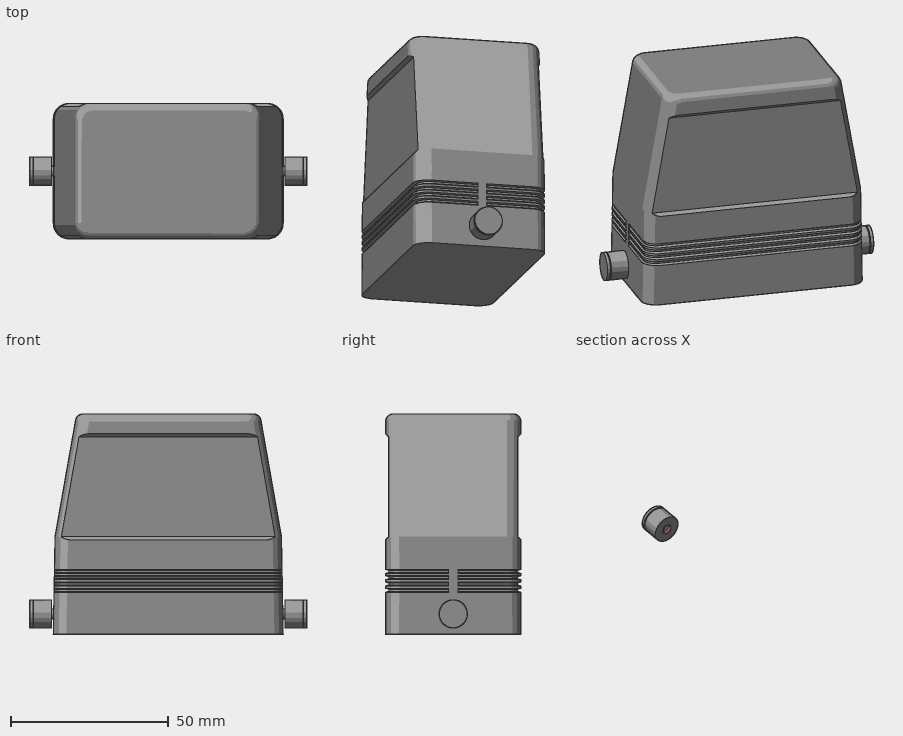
import cadquery as cq
import math

width = 43.0
height = 70.0
base_half_length = 36.5
knee_z = 31.0
lower_draft = 1.0
upper_draft = 10.0
corner_radius = 5.0
top_radius = 2.5

recess_depth = 1.0
recess_floor_bottom = knee_z
recess_floor_top = 62.7

groove_count = 4
groove_pitch = 2.0
groove_band_center_z = 17.0
groove_mouth = 1.3
groove_floor = 0.6
groove_side_depth = 1.1
groove_end_depth = 0.6
groove_floor_corner_radius = 4.0
groove_gap = 3.0

overall_length = 88.0
peg_diameter = 9.0
peg_length = 7.0
peg_z = 6.5
neck_diameter = 3.2
neck_embedment = 2.0
ring_offset = 1.0
ring_width = 0.3
ring_depth = 0.1

clearance = 5.0


def draft_run(rise, angle):
    """Inward shift of a face leaning by angle (degrees) over a vertical rise."""
    return rise * math.tan(math.radians(angle))


def lower_half_length(z):
    """Half the body length at height z, below the knee."""
    return base_half_length - draft_run(z, lower_draft)


def make_body():
    """Solid hood with rounded corners and a rounded top rim."""
    knee_half = lower_half_length(knee_z)
    top_half = knee_half - draft_run(height - knee_z, upper_draft)
    body = (
        cq.Workplane("XZ")
        .moveTo(-base_half_length, 0)
        .lineTo(base_half_length, 0)
        .lineTo(knee_half, knee_z)
        .lineTo(top_half, height)
        .lineTo(-top_half, height)
        .lineTo(-knee_half, knee_z)
        .close()
        .extrude(width / 2, both=True)
    )
    body = body.edges("not (|X or |Y)").fillet(corner_radius)
    return body.faces(">Z").edges().fillet(top_radius)


def make_side_recess(side):
    """Trapezoidal bar that removes the recess on the side +1 (+Y) or -1 (-Y)."""
    outer_y = side * width / 2
    floor_y = side * (width / 2 - recess_depth)
    return (
        cq.Workplane("YZ")
        .moveTo(floor_y, recess_floor_bottom)
        .lineTo(floor_y, recess_floor_top)
        .lineTo(outer_y, recess_floor_top + recess_depth)
        .lineTo(outer_y, recess_floor_bottom - recess_depth)
        .close()
        .extrude(base_half_length + clearance, both=True)
    )


def mouth_section(z):
    """Body outline at height z."""
    return cq.Sketch().rect(2 * lower_half_length(z), width).vertices().fillet(corner_radius)


def floor_section(z):
    """Outline of the groove floor at height z."""
    length = 2 * (lower_half_length(z) - groove_end_depth)
    floor_width = width - 2 * groove_side_depth
    return cq.Sketch().rect(length, floor_width).vertices().fillet(groove_floor_corner_radius)


def make_flank(mouth_z, floor_z):
    """Core frustum that leaves one sloping flank of a groove."""
    mouth = mouth_section(mouth_z).moved(cq.Location(cq.Vector(0, 0, mouth_z)))
    floor = floor_section(floor_z).moved(cq.Location(cq.Vector(0, 0, floor_z)))
    return cq.Workplane("XY").placeSketch(mouth, floor).loft(ruled=True)


def make_groove(z):
    """Ring around the body whose section narrows from the mouth to the floor."""
    half_mouth = groove_mouth / 2
    half_floor = groove_floor / 2
    core = (
        cq.Workplane("XY", origin=(0, 0, z - half_mouth))
        .placeSketch(floor_section(z))
        .extrude(groove_mouth)
        .union(make_flank(z - half_mouth, z - half_floor))
        .union(make_flank(z + half_mouth, z + half_floor))
    )
    bridge_length = 2 * (base_half_length + clearance)
    bridge = cq.Workplane("XY").box(bridge_length, groove_gap, groove_mouth).translate((0, 0, z))
    slab = (
        cq.Workplane("XY")
        .box(bridge_length, width + 2 * clearance, groove_mouth)
        .translate((0, 0, z))
    )
    return slab.cut(core).cut(bridge)


def make_peg():
    """Peg on the +X end: a thin neck carrying a cylinder with a fine ring groove."""
    peg_radius = peg_diameter / 2
    neck_radius = neck_diameter / 2
    tip_x = overall_length / 2
    shoulder_x = tip_x - peg_length
    ring_outer_x = tip_x - ring_offset
    ring_inner_x = ring_outer_x - ring_width
    neck_start_x = base_half_length - neck_embedment
    return (
        cq.Workplane("XY")
        .moveTo(neck_start_x, 0)
        .lineTo(neck_start_x, neck_radius)
        .lineTo(shoulder_x, neck_radius)
        .lineTo(shoulder_x, peg_radius)
        .lineTo(ring_inner_x, peg_radius)
        .lineTo(ring_inner_x, peg_radius - ring_depth)
        .lineTo(ring_outer_x, peg_radius - ring_depth)
        .lineTo(ring_outer_x, peg_radius)
        .lineTo(tip_x, peg_radius)
        .lineTo(tip_x, 0)
        .close()
        .revolve(360, (0, 0, 0), (1, 0, 0))
        .translate((0, 0, peg_z))
    )


result = make_body()

for side in (-1, 1):
    result = result.cut(make_side_recess(side))

lowest_groove_z = groove_band_center_z - groove_pitch * (groove_count - 1) / 2
for index in range(groove_count):
    result = result.cut(make_groove(lowest_groove_z + index * groove_pitch))

peg = make_peg()
result = result.union(peg).union(peg.mirror("YZ"))